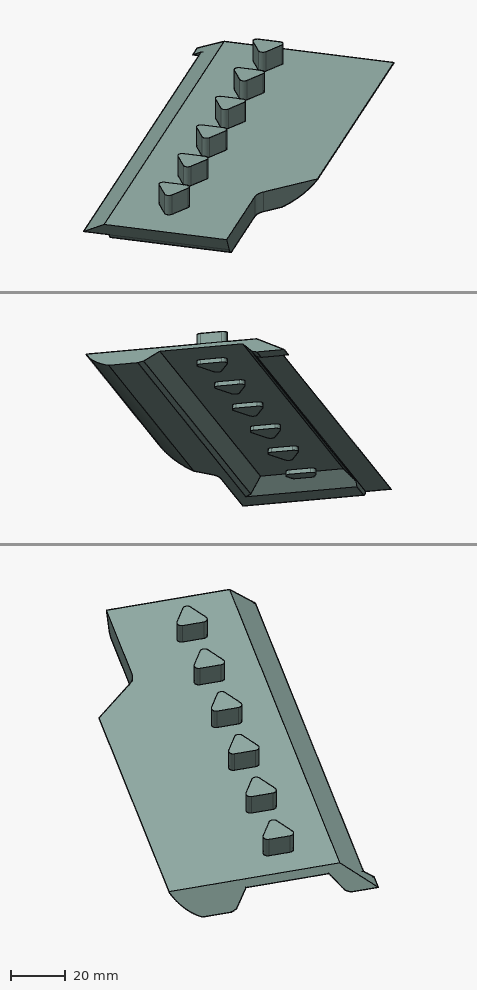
import cadquery as cq
import math

length = 168.0
width = 77.3
total_height = 16.0
plate_thickness = 8.0

left_bevel_run = 12.6
back_bevel_run = 7.9
front_slope_run = 4.9

lip_height = 2.4
undercut_width = 13.5
front_round_run = 2.7
round_bulge = 0.4
right_round_run = 10.5
right_edge_height = 7.7
right_round_middle = (73.0, 3.4)

tip_length = 6.2
tip_slope_run = 1.3

neck_width = 59.3
step_start = 40.3
step_fillet = 6.7

pocket_left = 12.5
pocket_right = 53.6
pocket_depth = 5.7
pocket_wall_run = 4.9
pocket_front = 15.8
pocket_mouth_flare = 2.0
pocket_mouth_height = 0.7

pin_count = 6
pin_pitch = 25.0
pin_x = 32.8
first_pin_back = 149.7
pin_corner_radius = 1.7
pin_width = 11.5


def along_y(profile):
    """Extrude an XZ profile over the whole length."""
    return profile.extrude(-length)


def make_plate():
    """Combine the cross section, the sloped ends and the stepped outline."""
    section = along_y(
        cq.Workplane("XZ")
        .lineTo(width - right_round_run, 0)
        .threePointArc(right_round_middle, (width, right_edge_height))
        .lineTo(width, plate_thickness)
        .lineTo(left_bevel_run, plate_thickness)
        .close()
    )

    lip_y = front_slope_run * (1 - lip_height / plate_thickness)
    round_end = lip_y + front_round_run
    side = (
        cq.Workplane("YZ")
        .moveTo(0, plate_thickness)
        .lineTo(lip_y, lip_height)
        .threePointArc((lip_y + round_bulge * front_round_run, round_bulge * lip_height), (round_end, 0))
        .lineTo(length, 0)
        .lineTo(length - back_bevel_run, plate_thickness)
        .close()
        .extrude(width)
    )

    step_end = step_start + width - neck_width
    outline = (
        cq.Workplane("XY")
        .polyline([(0, 0), (neck_width, 0), (neck_width, step_start),
                   (width, step_end), (width, length), (0, length)])
        .close()
        .extrude(plate_thickness)
        .edges(cq.selectors.NearestToPointSelector((neck_width, step_start, plate_thickness / 2)))
        .fillet(step_fillet)
    )
    return section.intersect(side).intersect(outline)


def make_left_undercut():
    """Cut that lifts the left side off the base, from the front to the back tip."""
    tip_y = length - tip_length
    return (
        cq.Workplane("YZ")
        .polyline([(0, 0), (tip_y, 0), (tip_y - tip_slope_run, lip_height), (0, lip_height)])
        .close()
        .extrude(undercut_width)
    )


def make_underside_pocket():
    """Pocket with sloped walls and a flared mouth, open at the back."""
    roof_left = pocket_left + pocket_wall_run
    roof_right = pocket_right - pocket_wall_run
    section = along_y(
        cq.Workplane("XZ")
        .polyline([(pocket_left - pocket_mouth_flare, 0), (pocket_left, pocket_mouth_height),
                   (roof_left, pocket_depth), (roof_right, pocket_depth),
                   (pocket_right, pocket_mouth_height), (pocket_right + pocket_mouth_flare, 0)])
        .close()
    )
    extent = (
        cq.Workplane("YZ")
        .polyline([(pocket_front, 0), (length, 0), (length, pocket_depth),
                   (pocket_front + pocket_wall_run, pocket_depth)])
        .close()
        .extrude(width)
    )
    return section.intersect(extent)


def make_pin(back_y):
    """Rounded equilateral triangle with its flat side toward the back."""
    root_z = plate_thickness / 2
    side = pin_width + 2 * pin_corner_radius * (math.sqrt(3) - 1)
    altitude = side * math.sqrt(3) / 2
    return (
        cq.Workplane("XY", origin=(0, 0, root_z))
        .polyline([(pin_x - side / 2, back_y), (pin_x + side / 2, back_y), (pin_x, back_y - altitude)])
        .close()
        .extrude(total_height - root_z)
        .edges("|Z")
        .fillet(pin_corner_radius)
    )


result = make_plate().cut(make_left_undercut()).cut(make_underside_pocket())
for index in range(pin_count):
    result = result.union(make_pin(first_pin_back - index * pin_pitch))